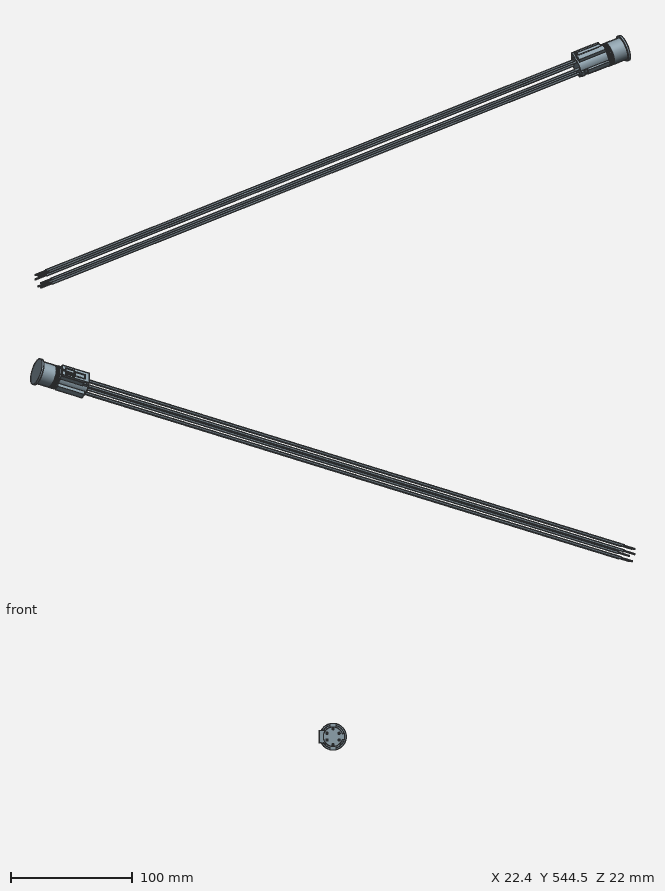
import cadquery as cq


flange_diameter = 22.0
flange_thickness = 1.8
sleeve_diameter = 19.0
sleeve_end = 14.0
neck_diameter = 17.5
ring_starts = (15.0, 17.2)
ring_length = 1.2
collar_end = ring_starts[-1] + ring_length
core_diameter = 16.0
housing_length = 44.5

rib_reach = flange_diameter / 2
rib_width = 5.0
rib_end = 43.0

clip_reach = 11.45
clip_width = 10.2
clip_end = rib_end
clip_shoulder_reach = 9.6
clip_shoulder_width = 11.0
clip_tooth_length = 1.6
clip_relief_length = 2.2
clip_relief_depth = 1.2
clip_channel_width = 4.4
clip_channel_start = 30.5
clip_channel_depth = 1.0
clip_slit_width = 1.6
clip_window_width = 6.6
clip_window_start = 21.5
clip_window_end = 29.5
clip_window_depth = 1.0

guide_reach = sleeve_diameter / 2
guide_width = 5.0
guide_gap_center = 40.0
guide_gap_width = 3.0

overall_length = 544.5
wire_diameter = 1.9
conductor_diameter = 1.04
side_wire_x = 5.0
side_wire_z = 2.75
center_wire_z = 6.6
wire_places = [(0, center_wire_z), (0, -center_wire_z)]
wire_places += [(x, z) for x in (-side_wire_x, side_wire_x) for z in (-side_wire_z, side_wire_z)]
stripped_length = 10.0


def rod(diameter, start, end, x=0.0, z=0.0):
    """Round bar along Y between two depths behind the flange front."""
    profile = cq.Workplane("XZ", origin=(x, -start, z)).circle(diameter / 2)
    return profile.extrude(end - start)


def block(x_range, depth_range, z_range):
    """Box given by its limits in X, depth behind the flange front, and Z."""
    size_x = x_range[1] - x_range[0]
    size_y = depth_range[1] - depth_range[0]
    size_z = z_range[1] - z_range[0]
    corner = (x_range[0], -depth_range[1], z_range[0])
    return cq.Workplane("XY").box(size_x, size_y, size_z, centered=False).translate(corner)


def span(center, width):
    """Limits of a stretch given by its middle and width."""
    return (center - width / 2, center + width / 2)


def make_housing():
    """Turned body: flange, sleeve, neck with two rings, and core."""
    housing = rod(flange_diameter, 0, flange_thickness)
    housing = housing.union(rod(sleeve_diameter, flange_thickness, sleeve_end))
    housing = housing.union(rod(neck_diameter, sleeve_end, collar_end))
    housing = housing.union(rod(core_diameter, collar_end, housing_length))
    for ring_start in ring_starts:
        housing = housing.union(rod(sleeve_diameter, ring_start, ring_start + ring_length))
    return housing


def make_rib():
    """Flat-topped rib standing on the upper side of the core."""
    return block(span(0, rib_width), (collar_end, rib_end), (0, rib_reach))


def make_clip():
    """Spring clip on shoulders, with a slit, a window, a channel and a relief ahead of its end tooth."""
    relief_end = clip_end - clip_tooth_length
    relief_start = relief_end - clip_relief_length
    shoulder_z = span(0, clip_shoulder_width)
    clip = block((-clip_reach, 0), (collar_end, clip_end), span(0, clip_width))
    clip = clip.union(block((-clip_shoulder_reach, 0), (collar_end, relief_start), shoulder_z))

    relief_x = (-clip_reach + clip_relief_depth, -core_diameter / 2)
    clip = clip.cut(block(relief_x, (relief_start, relief_end), shoulder_z))

    channel_x = (-clip_reach, -clip_reach + clip_channel_depth)
    channel_depths = (clip_channel_start, relief_start)
    clip = clip.cut(block(channel_x, channel_depths, span(0, clip_channel_width)))

    window_x = (-clip_reach, -clip_reach + clip_window_depth)
    window_depths = (clip_window_start, clip_window_end)
    clip = clip.cut(block(window_x, window_depths, span(0, clip_window_width)))

    slit_depths = (collar_end, clip_channel_start)
    slit_x = (-clip_reach, -clip_shoulder_reach)
    return clip.cut(block(slit_x, slit_depths, span(0, clip_slit_width)))


def make_guide():
    """Narrow rib whose gap reaches down to the core."""
    across = span(0, guide_width)
    guide = block((0, guide_reach), (collar_end, housing_length), across)
    gap_x = (core_diameter / 2, guide_reach)
    return guide.cut(block(gap_x, span(guide_gap_center, guide_gap_width), across))


def make_wire(x, z):
    """Insulated lead with a bare conductor at its far end."""
    insulation_end = overall_length - stripped_length
    insulation = rod(wire_diameter, housing_length, insulation_end, x, z)
    return insulation.union(rod(conductor_diameter, insulation_end, overall_length, x, z))


result = make_housing()
rib = make_rib()
result = result.union(rib).union(rib.mirror("XY"))
result = result.union(make_clip()).union(make_guide())
for wire_x, wire_z in wire_places:
    result = result.union(make_wire(wire_x, wire_z))